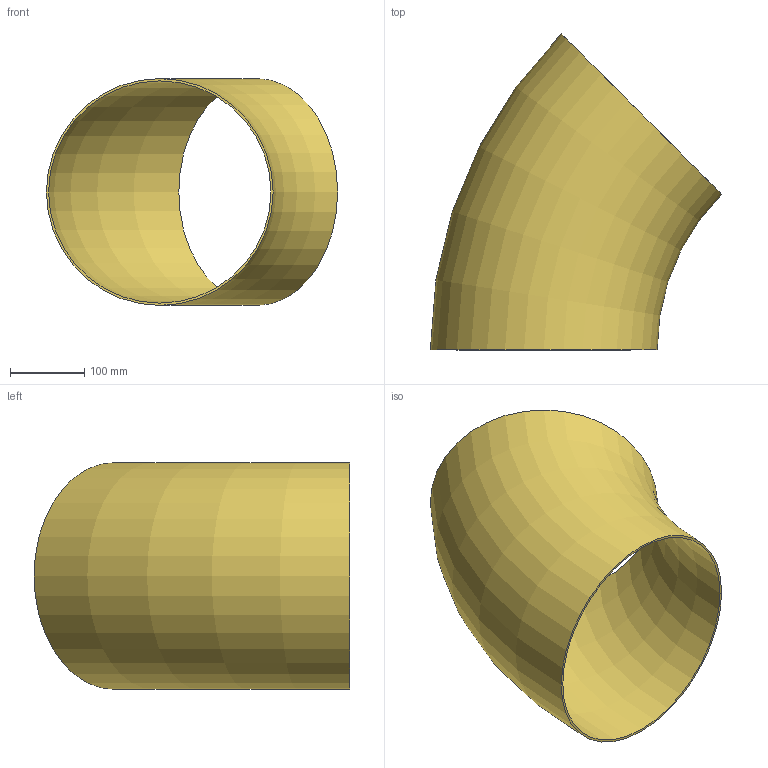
import cadquery as cq

outer_diameter = 306.0
wall_thickness = 3.0
bend_radius = 450.0
bend_angle = 45.0

outer_radius = outer_diameter / 2
inner_radius = outer_radius - wall_thickness


def make_elbow():
    """Revolve the tube's ring section about a Z-parallel axis on its +X side.

    The inlet face lies in the XZ plane, centred on the origin, and the bend
    runs towards +Y and +X.
    """
    ring = cq.Workplane("XZ").circle(outer_radius).circle(inner_radius)
    axis_start = (bend_radius, 1, 0)
    axis_end = (bend_radius, 0, 0)
    return ring.revolve(bend_angle, axis_start, axis_end)


result = make_elbow()